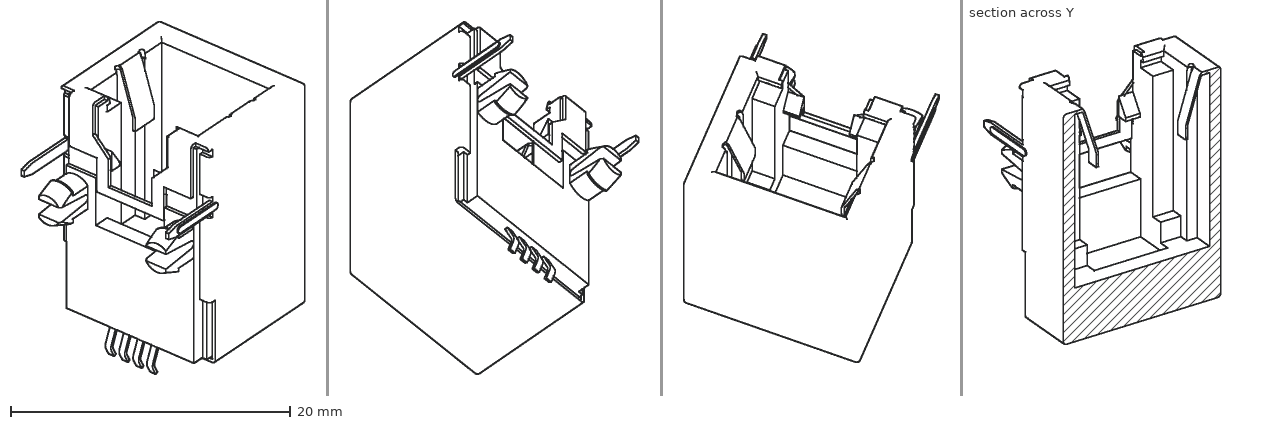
import cadquery as cq
import math


half_width = 6.78
back_y = 11.72
height = 18.65
sheet = 0.3
inner_half = half_width - sheet
sheet_top = height - sheet
top_front_y = 0.55
side_front_y = 0.98
low_front_y = 1.3
low_step_z = 5.4
flange_spans = [(low_step_z, 12.6), (14.32, 17.75)]

housing_half = 5.85
shoulder_half = 6.25
housing_bottom = 0.31
recess_bottom = 12.45

mouth_half = 5.2
mouth_front_y = 1.33
mouth_back_y = 10.0
lead_in = 0.3
lip_step = 0.08
lead_in_depth = 0.38
lip_bottom = sheet_top - lead_in_depth
cavity_half = mouth_half - lead_in
cavity_front_y = mouth_front_y + lead_in
cavity_back_y = mouth_back_y - lead_in
cavity_floor = 4.38
ledges = [(2.88, 17.4), (3.85, 6.05)]
latch_half = 3.15
latch_sill = 8.42
latch_pocket_y = (1.3, 4.77)
latch_pocket_floor = 3.75

spring_y = (5.21, 7.4)
spring_sheet = 0.2
spring_tip_half = 3.73
spring_bend_z = 14.68
spring_end_z = 13.55
spring_slot_y = (4.63, 7.75)
spring_slot_half = 5.78
spring_root_inset = 0.08
relief_radius = 0.23
relief_inset = 0.15
relief_y = (4.88, 7.67)

panel_half = 5.57
panel_bottom = 14.18
bridge_half = 3.06
bridge_bottom = 11.3
bridge_top = 12.11
cutout_half = 3.45
throat_half = 2.0
taper_top = 15.97
taper_bottom = 14.5

catch_inner_half = 1.92
catch_rear_y = 1.2
catch_bottom = 13.39
catch_rear_top = 13.68
catch_top = 15.03

peg_x = 5.02
peg_z = 10.5
peg_radius = 1.5
barb_radius = 1.73
peg_tip_radius = 1.2
barb_y = -1.69
barb_lip = 0.13
peg_end_y = -3.17
peg_inner_flat = 3.88
peg_outer_flat = 5.84
split_radius = 0.33
split_taper = 6

tab_z = 13.45
tab_half = 0.48
tab_tip_half = 0.25
tab_taper_y = -3.13
tab_end_y = -4.02
bead_half = 0.27
bead_y = (-3.06, 1.48)
bead_height = 0.1

pin_pitch = 1.27
pin_count = 4
pin_width = 0.52
pin_sheet = 0.23
pin_lean = 23
pin_curl = 28
pin_bend = (0.5, -1.33)
pin_bend_radius = 0.42
pin_tip_length = 0.65

EMBED = 0.63


def box(x, y, z):
    """Box from its (low, high) limits along each axis."""
    return cq.Workplane("XY").box(
        x[1] - x[0], y[1] - y[0], z[1] - z[0], centered=False
    ).translate((x[0], y[0], z[0]))


def centred_box(half, y, z):
    """Box symmetric about X = 0 with the given half width."""
    return box((-half, half), y, z)


def side_profile(points, x):
    """Closed YZ outline extruded between two X positions."""
    return cq.Workplane("YZ").polyline(points).close().extrude(x[1] - x[0]).translate((x[0], 0, 0))


def both_sides(solid):
    """The solid together with its mirror image on the other side of X = 0."""
    return solid.union(solid.mirror("YZ"))


def shield_body():
    """Outer block with rounded edges and the stepped front edges of its sheets."""
    body = centred_box(half_width, (top_front_y, back_y), (0, height))
    body = body.edges("|Y or >Y").fillet(sheet)
    body = body.cut(centred_box(half_width, (top_front_y, low_front_y), (0, low_step_z)))
    return body.cut(centred_box(half_width, (top_front_y, side_front_y), (low_step_z, sheet_top)))


def housing_front():
    """Front part of the plastic housing, standing proud of the side sheets."""
    rear = low_front_y + EMBED
    core = centred_box(housing_half, (0, rear), (housing_bottom, sheet_top))
    core = core.cut(centred_box(housing_half, (0, sheet), (recess_bottom, sheet_top)))
    shoulder = centred_box(shoulder_half, (side_front_y, rear), (housing_bottom, low_step_z + EMBED))
    return core.union(shoulder)


def side_gaps():
    """Narrow gaps between the housing and the lower side sheets."""
    gap = box((shoulder_half, inner_half), (0, low_front_y + EMBED), (sheet, low_step_z))
    return both_sides(gap)


def flanges():
    """Strips bent inward from the front edges of the side sheets."""
    parts = None
    for bottom, top in flange_spans:
        strip = box((housing_half, half_width), (side_front_y - sheet, low_front_y), (bottom, top))
        strip = strip.edges("|Z and >X and <Y").fillet(sheet)
        parts = strip if parts is None else parts.union(strip)
    return both_sides(parts)


def flared_slot(plane, half):
    """Slot across the given plane whose two walls round outward to the top of the sheet."""
    sheet_run = lead_in - lip_step
    diagonal = math.radians(45)
    middle = (
        half + lead_in - sheet_run * math.cos(diagonal),
        sheet_top + sheet * math.sin(diagonal),
    )
    half_slot = (
        cq.Workplane(plane)
        .moveTo(0, cavity_floor)
        .lineTo(half, cavity_floor)
        .lineTo(half, lip_bottom)
        .tangentArcPoint((half + lip_step, sheet_top), relative=False)
        .threePointArc(middle, (half + lead_in, height))
        .lineTo(0, height)
        .close()
        .extrude(half_width, both=True)
    )
    opposite = half_slot.mirror("YZ" if plane == "XZ" else "XZ")
    return half_slot.union(opposite).intersect(
        box((-half_width, half_width), (-half_width, half_width), (lip_bottom, height))
    )


def plug_cavity():
    """Cutter for the plug cavity with its lip, spring grooves, guide ledges and latch window."""
    cavity = centred_box(cavity_half, (cavity_front_y, cavity_back_y), (cavity_floor, height))
    front_y = cavity_front_y
    for rear_y, top in ledges:
        cavity = cavity.cut(centred_box(cavity_half, (front_y, rear_y), (cavity_floor, top)))
        front_y = rear_y
    undercut = centred_box(cavity_half, (latch_pocket_y[0], ledges[0][0]), (ledges[0][1], lip_bottom))
    centre_y = (cavity_front_y + cavity_back_y) / 2
    half_length = (cavity_back_y - cavity_front_y) / 2
    lip = flared_slot("XZ", cavity_half).intersect(flared_slot("YZ", half_length))
    lip = lip.translate((0, centre_y, 0))
    grooves = both_sides(box((0, spring_slot_half), spring_slot_y, (cavity_floor, sheet_top)))
    window = centred_box(latch_half, (0, latch_pocket_y[1]), (latch_sill, height))
    pocket = centred_box(latch_half, latch_pocket_y, (latch_pocket_floor, height))
    return cavity.union(undercut).union(lip).union(grooves).union(window).union(pocket)


def spring_reliefs():
    """Round notches in the top sheet at both ends of each spring."""
    centres = [(side * (mouth_half - relief_inset), y) for side in (-1, 1) for y in relief_y]
    return (
        cq.Workplane("XY", origin=(0, 0, lip_bottom))
        .pushPoints(centres)
        .circle(relief_radius)
        .extrude(height - lip_bottom)
    )


def springs():
    """Sheet fingers folded down into the cavity from its mouth."""
    root = mouth_half - spring_root_inset
    outline = [
        (mouth_half + EMBED / 2, height),
        (root, height),
        (root - spring_sheet, height - sheet),
        (spring_tip_half, spring_bend_z),
        (spring_tip_half, spring_end_z),
        (spring_tip_half + spring_sheet, spring_end_z),
        (spring_tip_half + spring_sheet, spring_bend_z),
        (root, sheet_top),
        (mouth_half + EMBED / 2, sheet_top),
    ]
    finger = cq.Workplane("XZ").polyline(outline).close().extrude(-(spring_y[1] - spring_y[0]))
    return both_sides(finger.translate((0, spring_y[0], 0)))


def front_panel():
    """Sheet bent down from the top over the housing recess, with the latch cutout."""
    panel = centred_box(panel_half, (0, top_front_y), (panel_bottom, height))
    panel = panel.edges("|X and >Z and <Y").fillet(sheet)
    panel = panel.cut(centred_box(panel_half, (sheet, top_front_y), (0, sheet_top)))
    panel = panel.union(centred_box(bridge_half, (0, sheet), (bridge_bottom, panel_bottom)))
    return panel.cut(latch_cutout(sheet))


def latch_cutout(depth):
    """Opening for the plug latch, narrowing downward, cut back from the front face."""
    half_outline = [
        (cutout_half, height),
        (cutout_half, taper_top),
        (throat_half, taper_bottom),
        (throat_half, bridge_top),
    ]
    outline = half_outline + [(-x, z) for x, z in reversed(half_outline)]
    return cq.Workplane("XZ").polyline(outline).close().extrude(-depth)


def latch_catches():
    """Wedges behind the panel that hold the plug latch."""
    outline = [
        (sheet, catch_bottom),
        (sheet, catch_top),
        (catch_rear_y, catch_rear_top),
        (catch_rear_y, catch_bottom),
    ]
    return both_sides(side_profile(outline, (catch_inner_half, latch_half + EMBED)))


def board_pegs():
    """Split pegs with conical barbs, flattened on both sides."""
    outline = [
        (0, EMBED),
        (peg_radius, EMBED),
        (peg_radius, barb_y),
        (barb_radius, barb_y),
        (barb_radius, barb_y - barb_lip),
        (peg_tip_radius, peg_end_y),
        (0, peg_end_y),
    ]
    peg = cq.Workplane("XY").polyline(outline).close().revolve(360, (0, 0, 0), (0, 1, 0))
    peg = peg.translate((peg_x, 0, peg_z))
    peg = peg.intersect(
        box((peg_inner_flat, peg_outer_flat), (peg_end_y, EMBED), (peg_z - barb_radius, peg_z + barb_radius))
    )
    taper = math.radians(split_taper)
    tangent_y = split_radius * (math.sin(taper) - 1)
    root_half = split_radius * math.cos(taper)
    mouth_split_half = root_half + (tangent_y - peg_end_y) * math.tan(taper)
    split = (
        cq.Workplane("YZ")
        .moveTo(tangent_y, peg_z + root_half)
        .threePointArc((0, peg_z), (tangent_y, peg_z - root_half))
        .lineTo(peg_end_y, peg_z - mouth_split_half)
        .lineTo(peg_end_y, peg_z + mouth_split_half)
        .close()
        .extrude(half_width)
    )
    return both_sides(peg.cut(split))


def board_tabs():
    """Tapered solder tabs in the plane of the side sheets, each with a raised bead."""
    outline = [
        (low_front_y, tab_z + tab_half),
        (tab_taper_y, tab_z + tab_half),
        (tab_end_y, tab_z + tab_tip_half),
        (tab_end_y, tab_z - tab_tip_half),
        (tab_taper_y, tab_z - tab_half),
        (low_front_y, tab_z - tab_half),
    ]
    tab = side_profile(outline, (inner_half, half_width))
    bead = (
        cq.Workplane("YZ", origin=(inner_half, 0, 0))
        .center(sum(bead_y) / 2, tab_z)
        .slot2D(bead_y[1] - bead_y[0], 2 * bead_half)
        .extrude(sheet + bead_height)
    )
    return both_sides(tab.union(bead))


def contact_pins():
    """Row of pins leaving the housing bottom and curling back near the end."""
    lean = math.radians(pin_lean)
    curl = math.radians(pin_curl)

    def around_bend(radius, angle):
        return (
            pin_bend[0] - radius * math.cos(angle),
            pin_bend[1] + radius * math.sin(angle),
        )

    def up_the_pin(point):
        rise = housing_bottom + EMBED - point[1]
        return (point[0] + rise * math.tan(lean), housing_bottom + EMBED)

    def down_to_tip(point):
        return (
            point[0] + pin_tip_length * math.sin(curl),
            point[1] - pin_tip_length * math.cos(curl),
        )

    outer, inner = pin_bend_radius + pin_sheet, pin_bend_radius
    middle = (lean - curl) / 2
    outline = (
        cq.Workplane("YZ")
        .moveTo(*up_the_pin(around_bend(outer, lean)))
        .lineTo(*around_bend(outer, lean))
        .threePointArc(around_bend(outer, middle), around_bend(outer, -curl))
        .lineTo(*down_to_tip(around_bend(outer, -curl)))
        .lineTo(*down_to_tip(around_bend(inner, -curl)))
        .lineTo(*around_bend(inner, -curl))
        .threePointArc(around_bend(inner, middle), around_bend(inner, lean))
        .lineTo(*up_the_pin(around_bend(inner, lean)))
        .close()
    )
    pin = outline.extrude(pin_width / 2, both=True)
    pins = None
    for index in range(pin_count):
        placed = pin.translate(((index - (pin_count - 1) / 2) * pin_pitch, 0, 0))
        pins = placed if pins is None else pins.union(placed)
    return pins


top_latch_cutout = latch_cutout(mouth_front_y).intersect(
    centred_box(half_width, (0, mouth_front_y), (sheet_top, height))
)
body = shield_body().union(housing_front()).union(flanges())
body = body.cut(plug_cavity()).cut(spring_reliefs()).cut(side_gaps())
body = body.union(front_panel()).union(latch_catches()).union(springs())
body = body.cut(top_latch_cutout)
result = body.union(board_pegs()).union(board_tabs()).union(contact_pins())